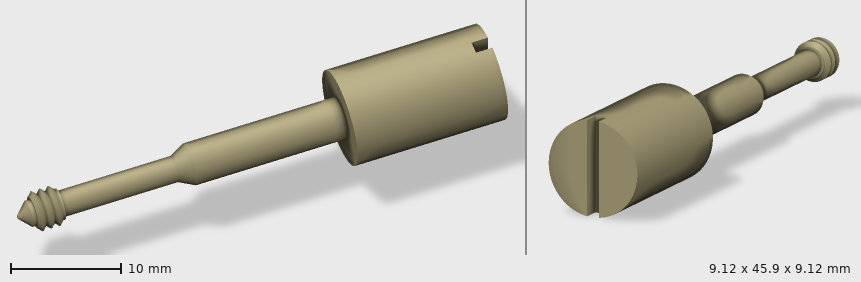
import cadquery as cq

total_length = 45.85
head_diameter = 9.12
head_length = 14.6

slot_width = 1.2
slot_depth = 1.6

shank_diameter = 4.0
shank_length = 14.6
taper_length = 1.5
neck_diameter = 2.48

tip_cone_length = 1.05
tip_flat_diameter = 0.35
pilot_length = 0.4
crest_diameter = 3.8
root_diameter = 3.0
thread_pitch = 0.83
thread_turns = 3
collar_length = 0.2

point_y = -total_length / 2
head_end_y = total_length / 2
cone_base_y = point_y + tip_cone_length
thread_start_y = cone_base_y + pilot_length
thread_end_y = thread_start_y + thread_turns * thread_pitch
collar_end_y = thread_end_y + collar_length
head_face_y = head_end_y - head_length
shank_end_y = head_face_y - shank_length
taper_end_y = shank_end_y - taper_length


def thread_points():
    """Radius and Y of each ridge: a sharp crest followed by a root."""
    points = [(root_diameter / 2, thread_start_y)]
    for turn in range(thread_turns):
        ridge_start_y = thread_start_y + turn * thread_pitch
        points.append((crest_diameter / 2, ridge_start_y + thread_pitch / 2))
        points.append((root_diameter / 2, ridge_start_y + thread_pitch))
    return points


def turned_body():
    """Whole screw as one half profile revolved about the Y axis."""
    profile = [
        (0, point_y),
        (tip_flat_diameter / 2, point_y),
        (neck_diameter / 2, cone_base_y),
        (neck_diameter / 2, thread_start_y),
        *thread_points(),
        (root_diameter / 2, collar_end_y),
        (neck_diameter / 2, collar_end_y),
        (neck_diameter / 2, taper_end_y),
        (shank_diameter / 2, shank_end_y),
        (shank_diameter / 2, head_face_y),
        (head_diameter / 2, head_face_y),
        (head_diameter / 2, head_end_y),
        (0, head_end_y),
    ]
    return cq.Workplane("XY").polyline(profile).close().revolve(360, (0, 0, 0), (0, 1, 0))


def driver_slot():
    """Slot across the head end, running through along Z."""
    slot_center_y = head_end_y - slot_depth / 2
    return cq.Workplane("XY").box(slot_width, slot_depth, head_diameter).translate((0, slot_center_y, 0))


result = turned_body().cut(driver_slot())